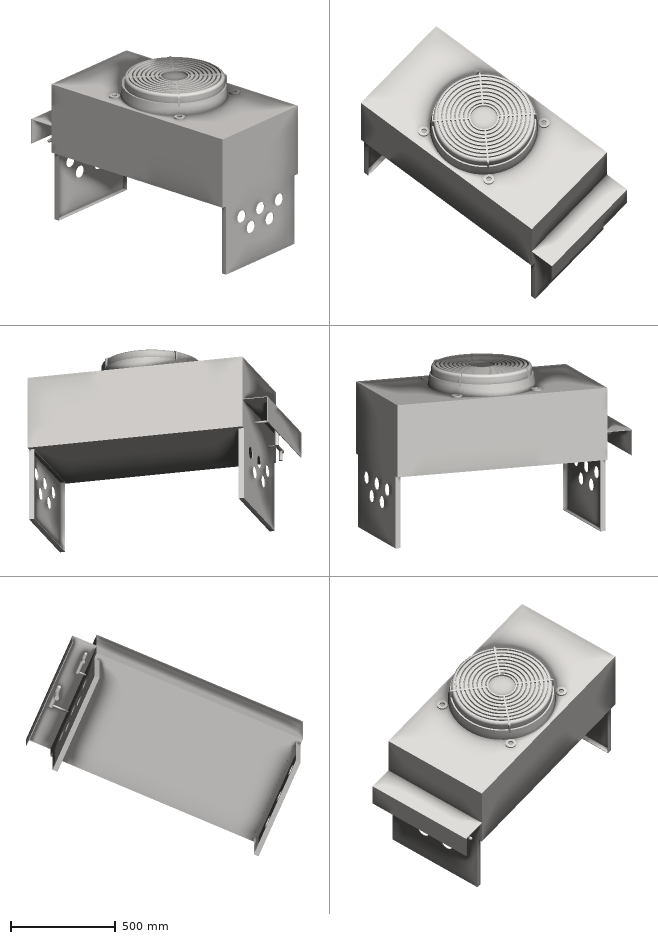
import cadquery as cq
import math

HOOD_DEPTH = 127.0
BODY_LENGTH = 1079.5
BODY_WIDTH = 558.8
BODY_HEIGHT = 355.6
LEG_HEIGHT = 355.6
BODY_TOP = LEG_HEIGHT + BODY_HEIGHT
TOTAL_LENGTH = HOOD_DEPTH + BODY_LENGTH

LEG_WIDTH = 508.0
LEG_DEPTH = 25.4
LEG_SHEET = 3.0
LEG_HOLE_DIAMETER = 60.3
LEG_HOLE_PITCH = 139.7
UPPER_HOLE_Z = 266.7
LOWER_HOLE_Z = 190.5

HOOD_HEIGHT = 127.0
HOOD_SHEET = 3.0
HOOD_DROP = 215.9
HOOD_TOP = BODY_TOP - HOOD_DROP

FAN_X = HOOD_DEPTH + BODY_LENGTH / 2
FAN_HEIGHT = 101.6
SKIRT_BASE_RADIUS = 260.0
SKIRT_TOP_RADIUS = 250.8
SKIRT_HEIGHT = 57.15
COLLAR_RADIUS = 242.9
RIM_RADIUS = 14.3

GROOVE_COUNT = 8
GROOVE_PITCH = 20.95
GROOVE_WIDTH = 7.6
GROOVE_DEPTH = 10.0
OUTER_GROOVE_RADIUS = 227.0
HUB_RECESS_RADIUS = OUTER_GROOVE_RADIUS - (GROOVE_COUNT - 1) * GROOVE_PITCH - 2 * GROOVE_WIDTH

SPOKE_ANGLES = (45, 135, 225, 315)
SPOKE_WIDTH = 8.0
RIB_OUTER_RADIUS = 253.5
FOOT_CENTER_RADIUS = 204.8 * math.sqrt(2)
FOOT_RADIUS = 26.2
FOOT_HOLE_RADIUS = 12.7
FOOT_HEIGHT = 7.9

PIPE_BOTTOM_Z = 341.3
PIPE_RUN_BACK = 76.2
PIPE_NOSE = 28.0
SUCTION_PIPE = dict(x=38.1, y=0.0, z=445.0, radius=11.1, feed_radius=5.6)
LIQUID_PIPE = dict(x=84.6, y=-215.9, z=394.4, radius=8.4, feed_radius=4.4)


def box(x_min, x_max, width, z_min, z_max):
    """Block centred on Y = 0."""
    size = (x_max - x_min, width, z_max - z_min)
    return cq.Workplane("XY").box(*size).translate(((x_min + x_max) / 2, 0, (z_min + z_max) / 2))


def make_leg(outer_x, inward):
    """Pan with its web at outer_x; inward is +1 or -1 along X."""
    inner_x = outer_x + inward * LEG_DEPTH
    web_x = outer_x + inward * LEG_SHEET
    leg = box(min(outer_x, inner_x), max(outer_x, inner_x), LEG_WIDTH, 0, LEG_HEIGHT)
    cavity = box(
        min(web_x, inner_x),
        max(web_x, inner_x),
        LEG_WIDTH - 2 * LEG_SHEET,
        LEG_SHEET,
        LEG_HEIGHT - LEG_SHEET,
    )
    return leg.cut(cavity)


def make_leg_holes():
    """Staggered holes running through both leg webs."""
    centers = [(i * LEG_HOLE_PITCH, UPPER_HOLE_Z) for i in (-1, 0, 1)]
    centers += [(i * LEG_HOLE_PITCH, LOWER_HOLE_Z) for i in (-0.5, 0.5)]
    return cq.Workplane("YZ").pushPoints(centers).circle(LEG_HOLE_DIAMETER / 2).extrude(TOTAL_LENGTH)


def make_hood():
    top = box(0, HOOD_DEPTH, BODY_WIDTH, HOOD_TOP - HOOD_SHEET, HOOD_TOP)
    front = box(0, HOOD_SHEET, BODY_WIDTH, HOOD_TOP - HOOD_HEIGHT, HOOD_TOP)
    return top.union(front)


def rounded_collar(radius):
    """Solid of revolution standing on Z = 0, with a rounded top rim."""
    bend = RIM_RADIUS * math.sqrt(0.5)
    rim_x = radius - RIM_RADIUS
    rim_z = FAN_HEIGHT - RIM_RADIUS
    return (
        cq.Workplane("XZ")
        .moveTo(0, 0)
        .lineTo(radius, 0)
        .lineTo(radius, rim_z)
        .threePointArc((rim_x + bend, rim_z + bend), (rim_x, FAN_HEIGHT))
        .lineTo(0, FAN_HEIGHT)
        .close()
        .revolve(360, (0, 0, 0), (0, 1, 0))
    )


def spoke_bars(z_min, z_max):
    """Two crossing bars along the diagonals, covering all four spokes."""
    span = 2 * SKIRT_BASE_RADIUS
    bar = box(-span / 2, span / 2, SPOKE_WIDTH, z_min, z_max)
    first = bar.rotate((0, 0, 0), (0, 0, 1), SPOKE_ANGLES[0])
    return first.union(bar.rotate((0, 0, 0), (0, 0, 1), SPOKE_ANGLES[1]))


def make_grille_cut():
    """Ring grooves interrupted by the spokes, plus the central recess."""
    floor = FAN_HEIGHT - GROOVE_DEPTH
    plane = cq.Workplane("XY").workplane(offset=floor)
    cut = None
    for i in range(GROOVE_COUNT):
        outer = OUTER_GROOVE_RADIUS - i * GROOVE_PITCH
        ring = plane.circle(outer).circle(outer - GROOVE_WIDTH).extrude(GROOVE_DEPTH)
        cut = ring if cut is None else cut.union(ring)
    cut = cut.cut(spoke_bars(floor, FAN_HEIGHT))
    return cut.union(plane.circle(HUB_RECESS_RADIUS).extrude(GROOVE_DEPTH))


def make_fan():
    """Complete shroud standing on Z = 0, centred on the Z axis."""
    skirt = (
        cq.Workplane("XZ")
        .polyline([(0, 0), (SKIRT_BASE_RADIUS, 0), (SKIRT_TOP_RADIUS, SKIRT_HEIGHT), (0, SKIRT_HEIGHT)])
        .close()
        .revolve(360, (0, 0, 0), (0, 1, 0))
    )
    ribs = rounded_collar(RIB_OUTER_RADIUS).intersect(spoke_bars(0, FAN_HEIGHT))
    fan = skirt.union(rounded_collar(COLLAR_RADIUS)).union(ribs).cut(make_grille_cut())
    foot = cq.Workplane("XY").circle(FOOT_RADIUS).circle(FOOT_HOLE_RADIUS).extrude(FOOT_HEIGHT)
    for angle in SPOKE_ANGLES:
        fan = fan.union(foot.translate((FOOT_CENTER_RADIUS, 0, 0)).rotate((0, 0, 0), (0, 0, 1), angle))
    return fan


def make_pipe(x, y, z, radius, feed_radius):
    """Drop pipe under a cross tube with a domed end, fed from the cabinet by a thinner tube."""
    drop = cq.Workplane("XY").center(x, y).circle(radius).extrude(z - PIPE_BOTTOM_Z)
    drop = drop.translate((0, 0, PIPE_BOTTOM_Z))
    cross = cq.Workplane("XZ").center(x, z).circle(radius).extrude(PIPE_NOSE + PIPE_RUN_BACK)
    cross = cross.translate((0, y + PIPE_RUN_BACK, 0))
    dome = cq.Workplane("XY").sphere(radius).translate((x, y - PIPE_NOSE, z))
    feed_y = y + PIPE_RUN_BACK - radius
    feed = cq.Workplane("YZ").center(feed_y, z).circle(feed_radius).extrude(HOOD_DEPTH - x)
    return drop.union(cross).union(dome).union(feed.translate((x, 0, 0)))


result = box(HOOD_DEPTH, TOTAL_LENGTH, BODY_WIDTH, LEG_HEIGHT, BODY_TOP)
legs = make_leg(HOOD_DEPTH, 1).union(make_leg(TOTAL_LENGTH, -1))
result = result.union(legs.cut(make_leg_holes()))
result = result.union(make_hood())
result = result.union(make_fan().translate((FAN_X, 0, BODY_TOP)))
result = result.union(make_pipe(**SUCTION_PIPE))
result = result.union(make_pipe(**LIQUID_PIPE))